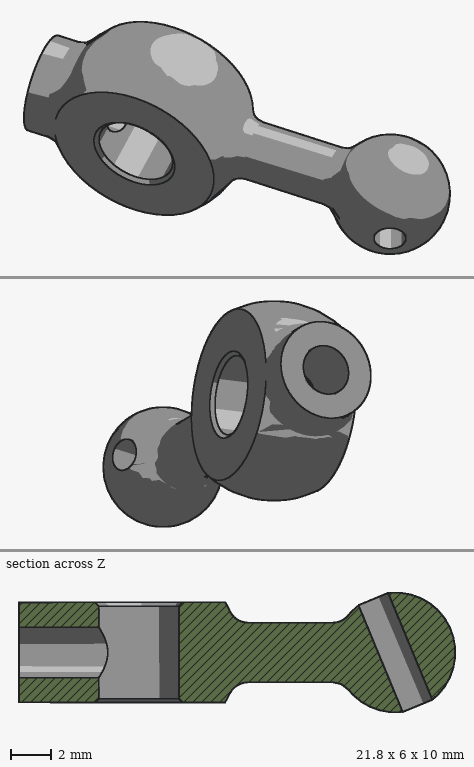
import cadquery as cq
import math

total_length = 21.82
eye_radius = 5.0
left_end = -6.0
right_end = left_end + total_length

eye_width = 5.02
bore_diameter = 4.0
bore_chamfer = 0.2

stub_diameter = 5.0
stub_hole_diameter = 2.5

neck_diameter = 3.0
ball_diameter = 6.0
ball_radius = ball_diameter / 2
ball_center = right_end - ball_radius

blend_radius = 1.0

select_margin = 0.02

ball_hole_diameter = 1.6
ball_hole_angle = 22.5


def rod_x(diameter, start, end):
    """Cylinder on the X axis between two X positions."""
    return cq.Workplane("YZ", origin=(start, 0, 0)).circle(diameter / 2).extrude(end - start)


def cylinder_y(diameter, length):
    """Cylinder on the Y axis, centred on the origin."""
    return cq.Workplane("XZ").circle(diameter / 2).extrude(length / 2, both=True)


def sphere(radius):
    """Sphere at the origin, with its seam turned to +Y so that no joint on the X axis crosses it."""
    return cq.Workplane("XY").sphere(radius).rotate((0, 0, 0), (0, 0, 1), 90)


def flattened_eye():
    """Sphere with two parallel flats facing -Y and +Y."""
    size = 2 * eye_radius
    return sphere(eye_radius).intersect(cq.Workplane("XY").box(size, eye_width, size))


def blend_joint(body, sphere_radius, rod_diameter, side, sphere_x=0):
    """Fillet the circle where a rod leaves a sphere, on its +X (1) or -X (-1) side."""
    joint_x = sphere_x + side * math.sqrt(sphere_radius**2 - (rod_diameter / 2) ** 2)
    corner = (joint_x - select_margin, -select_margin, -select_margin)
    opposite_corner = (joint_x + select_margin, select_margin, select_margin)
    joint = cq.selectors.BoxSelector(corner, opposite_corner)
    return body.edges(joint).fillet(blend_radius)


ball = sphere(ball_radius).translate((ball_center, 0, 0))
body = flattened_eye()
body = body.union(rod_x(stub_diameter, left_end, 0))
body = body.union(rod_x(neck_diameter, 0, ball_center))
body = body.union(ball)

body = blend_joint(body, eye_radius, stub_diameter, -1)
body = blend_joint(body, eye_radius, neck_diameter, 1)
body = blend_joint(body, ball_radius, neck_diameter, -1, ball_center)

rim_diameter = bore_diameter + 2 * bore_chamfer
bore = cylinder_y(bore_diameter, eye_width)
for side in (-1, 1):
    countersink = cq.Solid.makeCone(
        rim_diameter / 2,
        bore_diameter / 2,
        bore_chamfer,
        cq.Vector(0, side * eye_width / 2, 0),
        cq.Vector(0, -side, 0),
    )
    bore = bore.union(cq.Workplane(obj=countersink))

stub_hole = rod_x(stub_hole_diameter, left_end, 0)

ball_hole = (
    cylinder_y(ball_hole_diameter, 2 * ball_diameter)
    .rotate((0, 0, 0), (0, 0, 1), ball_hole_angle)
    .translate((ball_center, 0, 0))
)

result = body.cut(bore).cut(stub_hole).cut(ball_hole)